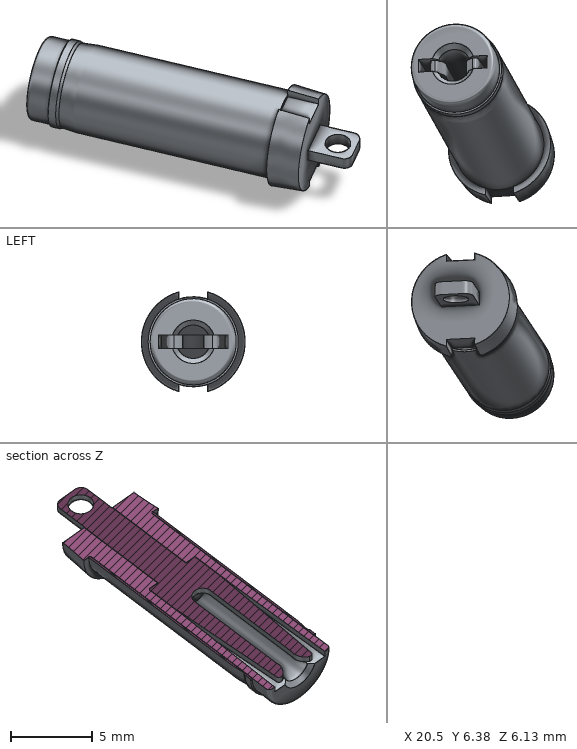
import cadquery as cq
import math


TOTAL_LENGTH = 20.5
SHELL_START = 1.5
FLANGE_START = 15.78
FLANGE_END = 17.8

CORE_RADIUS = 2.65
NOSE_FILLET = 0.27
FLANGE_FRONT_RADIUS = 6.38 / 2
FLANGE_REAR_RADIUS = 3.05
NOTCH_WIDTH = 1.76
NOTCH_FLOOR_HEIGHT = 2.5
NOTCH_DEPTH = FLANGE_FRONT_RADIUS - NOTCH_FLOOR_HEIGHT
BORE_RADIUS = 1.02
BORE_DEPTH = 9.22
COUNTERSINK_RADIUS = 1.33
COUNTERSINK_DEPTH = COUNTERSINK_RADIUS - BORE_RADIUS

SHELL_RADIUS = 2.77
GROOVE_RADIUS = 2.69
GROOVE_START = 1.99
GROOVE_BOTTOM = 2.17
GROOVE_END = 3.15

CONTACT_THICKNESS = 0.82
FORK_HALF_WIDTH = 1.95
SLOT_MOUTH_HALF_WIDTH = 2.13
FORK_BASE = BORE_DEPTH
FORK_END = 11.28
PRONG_TIP = 0.35
TIP_OUTER_Y = 1.48
TIP_INNER_Y = 1.17
PRONG_TAPER_LENGTH = 8.2
TIP_OUTER_FILLET = 0.18
GAP_RADIUS = 0.65
LEAD_IN_END = 1.44
LUG_HALF_WIDTH = 2.35 / 2
LUG_CORNER_RADIUS = 0.53
LUG_HOLE_DIAMETER = 1.55
LUG_HOLE_X = 19.33


def revolve_about_x(profile):
    """Turn a closed profile of (x, radius) about the X axis."""
    return profile.close().revolve(360, (0, 0, 0), (1, 0, 0))


def plate(outline):
    """Extrude a closed XY outline to the contact thickness, centred on Z = 0."""
    return outline.close().extrude(CONTACT_THICKNESS / 2, both=True)


def make_contact_cavity():
    """Slot that holds the fork, tapering inwards, with a narrow exit for the lug."""
    half_outline = [
        (0, SLOT_MOUTH_HALF_WIDTH),
        (FORK_BASE, FORK_HALF_WIDTH),
        (FORK_END, FORK_HALF_WIDTH),
        (FORK_END, LUG_HALF_WIDTH),
        (FLANGE_END, LUG_HALF_WIDTH),
    ]
    mirrored = [(x, -y) for x, y in reversed(half_outline)]
    return plate(cq.Workplane("XY").polyline(half_outline + mirrored))


def make_insulator():
    core = cq.Workplane("YZ").circle(CORE_RADIUS).extrude(FLANGE_END)
    core = core.faces("<X").edges().fillet(NOSE_FILLET)

    flange = revolve_about_x(cq.Workplane("XY").polyline([
        (FLANGE_START, 0),
        (FLANGE_START, FLANGE_FRONT_RADIUS),
        (FLANGE_END, FLANGE_REAR_RADIUS),
        (FLANGE_END, 0),
    ]))
    for side in (1, -1):
        notch = cq.Workplane("XY").box(
            FLANGE_END - FLANGE_START, NOTCH_WIDTH, NOTCH_DEPTH, centered=(False, True, True)
        ).translate((FLANGE_START, 0, side * (NOTCH_FLOOR_HEIGHT + NOTCH_DEPTH / 2)))
        flange = flange.cut(notch)
        core = core.cut(notch)

    bore = revolve_about_x(cq.Workplane("XY").polyline([
        (0, 0),
        (0, COUNTERSINK_RADIUS),
        (COUNTERSINK_DEPTH, BORE_RADIUS),
        (BORE_DEPTH, BORE_RADIUS),
        (BORE_DEPTH, 0),
    ]))
    return core.union(flange).cut(bore).cut(make_contact_cavity())


def make_shell():
    return revolve_about_x(cq.Workplane("XY").polyline([
        (SHELL_START, CORE_RADIUS),
        (SHELL_START, SHELL_RADIUS),
        (GROOVE_START, SHELL_RADIUS),
        (GROOVE_BOTTOM, GROOVE_RADIUS),
        (GROOVE_END, SHELL_RADIUS),
        (FLANGE_START, SHELL_RADIUS),
        (FLANGE_START, CORE_RADIUS),
    ]))


def make_contact():
    lead_length = LEAD_IN_END - PRONG_TIP
    lead_height = TIP_INNER_Y - GAP_RADIUS
    lead_middle_x = LEAD_IN_END - lead_length * math.cos(math.pi / 4)
    lead_middle_y = TIP_INNER_Y - lead_height * math.sin(math.pi / 4)
    gap_centre_x = FORK_BASE - GAP_RADIUS

    fork = plate(
        cq.Workplane("XY")
        .moveTo(FORK_END, FORK_HALF_WIDTH)
        .lineTo(PRONG_TIP + PRONG_TAPER_LENGTH, FORK_HALF_WIDTH)
        .lineTo(PRONG_TIP, TIP_OUTER_Y)
        .lineTo(PRONG_TIP, TIP_INNER_Y)
        .threePointArc((lead_middle_x, lead_middle_y), (LEAD_IN_END, GAP_RADIUS))
        .lineTo(gap_centre_x, GAP_RADIUS)
        .threePointArc((FORK_BASE, 0), (gap_centre_x, -GAP_RADIUS))
        .lineTo(LEAD_IN_END, -GAP_RADIUS)
        .threePointArc((lead_middle_x, -lead_middle_y), (PRONG_TIP, -TIP_INNER_Y))
        .lineTo(PRONG_TIP, -TIP_OUTER_Y)
        .lineTo(PRONG_TIP + PRONG_TAPER_LENGTH, -FORK_HALF_WIDTH)
        .lineTo(FORK_END, -FORK_HALF_WIDTH)
    )

    for side in (1, -1):
        tip_corner = (PRONG_TIP, side * TIP_OUTER_Y, 0)
        fork = fork.edges(cq.selectors.NearestToPointSelector(tip_corner)).fillet(TIP_OUTER_FILLET)

    lug = cq.Workplane("XY").box(
        TOTAL_LENGTH - FORK_END, 2 * LUG_HALF_WIDTH, CONTACT_THICKNESS, centered=(False, True, True)
    ).translate((FORK_END, 0, 0))
    lug = lug.edges("|Z and >X").fillet(LUG_CORNER_RADIUS)
    lug_hole = (
        cq.Workplane("XY")
        .center(LUG_HOLE_X, 0)
        .circle(LUG_HOLE_DIAMETER / 2)
        .extrude(CONTACT_THICKNESS, both=True)
    )
    return fork.union(lug).cut(lug_hole)


insulator = make_insulator()
shell = make_shell()
contact = make_contact()

result = cq.Compound.makeCompound([insulator.val(), shell.val(), contact.val()])